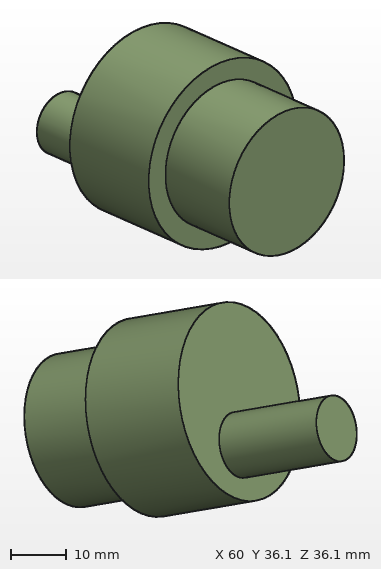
import cadquery as cq

PIN_DIAMETER = 12.0
PIN_LENGTH = 22.0
PIN_OFFSET = 8.0

BODY_DIAMETER = 36.15
BODY_LENGTH = 21.0

JOURNAL_DIAMETER = 28.0
TOTAL_LENGTH = 60.0
JOURNAL_LENGTH = TOTAL_LENGTH - PIN_LENGTH - BODY_LENGTH


def cylinder_along_x(diameter, x_start, length, z_axis=0.0):
    """Solid cylinder running in +X from x_start, its axis at height z_axis."""
    return (
        cq.Workplane("YZ", origin=(x_start, 0, z_axis))
        .circle(diameter / 2)
        .extrude(length)
    )


pin = cylinder_along_x(PIN_DIAMETER, -PIN_LENGTH, PIN_LENGTH, -PIN_OFFSET)
body = cylinder_along_x(BODY_DIAMETER, 0, BODY_LENGTH)
journal = cylinder_along_x(JOURNAL_DIAMETER, BODY_LENGTH, JOURNAL_LENGTH)

result = body.union(pin).union(journal)